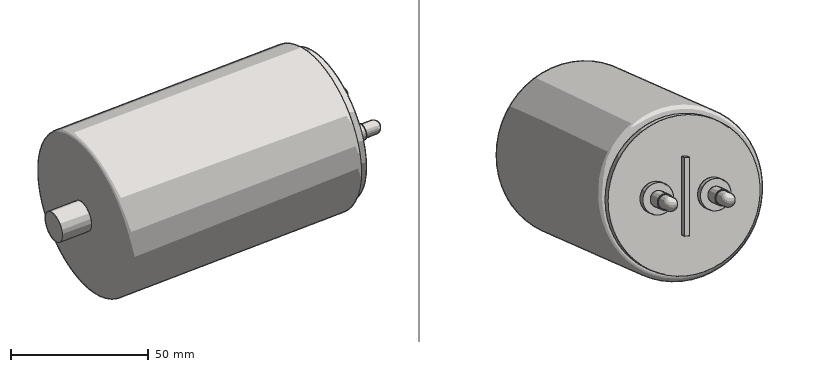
import cadquery as cq

overall_length = 132.5

can_diameter = 65.5
can_length = 100.0
can_edge_radius = 2.0

stud_diameter = 12.0
stud_length = 12.5

cover_diameter = 59.8
cover_thickness = 3.0
rib_width = 2.1
rib_height = 29.2
collar_thickness = 2.8

terminal_spacing = 22.7
collar_diameter = 12.0
shank_diameter = 6.2
shank_length = 6.9
pin_diameter = 5.4
nose_radius = 2.5

stud_end = -overall_length / 2
can_start = stud_end + stud_length
can_end = can_start + can_length
cover_end = can_end + cover_thickness
collar_end = cover_end + collar_thickness
shank_end = collar_end + shank_length
pin_end = overall_length / 2


def cylinder(diameter, start, end, x=0):
    """Round bar along +Y between two stations, offset sideways by x."""
    base = cq.Workplane("XZ", origin=(x, start, 0))
    return base.circle(diameter / 2).extrude(start - end)


def terminal(x):
    """Collar, shank and round-nosed pin standing on the cover."""
    collar = cylinder(collar_diameter, cover_end, collar_end, x)
    shank = cylinder(shank_diameter, collar_end, shank_end, x)
    pin = cylinder(pin_diameter, shank_end, pin_end, x).faces(">Y").edges().fillet(nose_radius)
    return collar.union(shank).union(pin)


can = cylinder(can_diameter, can_start, can_end).edges("%CIRCLE").fillet(can_edge_radius)
stud = cylinder(stud_diameter, stud_end, can_start)
cover = cylinder(cover_diameter, can_end, cover_end)

rib = cq.Workplane("XZ", origin=(0, cover_end, 0)).rect(rib_width, rib_height).extrude(-collar_thickness)

result = can.union(stud).union(cover).union(rib)
for side in (-1, 1):
    result = result.union(terminal(side * terminal_spacing / 2))